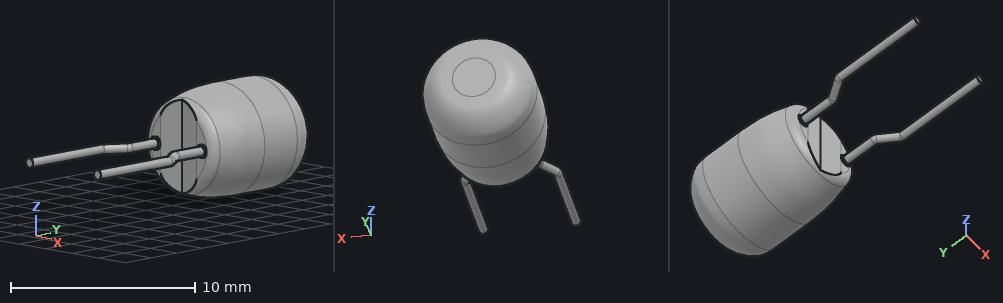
import cadquery as cq
import math

body_radius = 3.146
body_top = 7.95
band_bottom = 3.48
band_top = 6.02
base_edge_radius = 2.68
base_edge_height = 0.45
base_flat_radius = 2.09
shoulder_upper = (2.35, 7.63)
shoulder_lower = (2.92, 7.0)
crown_radius = 1.19

groove_half_width = 1.35
groove_depth = 0.27

lead_radius = 0.28
lead_end = -9.0
lead_embed = 0.85
lead_inner_x = 1.75
lead_outer_x = 2.56
first_bend_y = -2.04
second_bend_y = -3.43
bend_radius = 0.3
collar_radius = 0.37
collar_height = 0.07


def make_body():
    """Barrel with a domed top, a tapering lower side and a rounded base rim."""
    taper_inset = body_radius - base_edge_radius
    taper_length = band_bottom - base_edge_height
    taper_radius = (taper_inset**2 + taper_length**2) / (2 * taper_inset)
    taper_angle = math.asin(taper_length / taper_radius) / 2
    taper_mid = (
        body_radius - taper_radius * (1 - math.cos(taper_angle)),
        band_bottom - taper_radius * math.sin(taper_angle),
    )
    profile = (
        cq.Workplane("XY")
        .lineTo(0, body_top)
        .lineTo(crown_radius, body_top)
        .spline(
            [shoulder_upper, shoulder_lower, (body_radius, band_top)],
            tangents=[(1, 0), (0, -1)],
            includeCurrent=True,
        )
        .lineTo(body_radius, band_bottom)
        .threePointArc(taper_mid, (base_edge_radius, base_edge_height))
        .tangentArcPoint((base_flat_radius, 0), relative=False)
        .close()
    )
    return profile.revolve(360, (0, 0, 0), (0, 1, 0))


def make_groove():
    """V-shaped wedge running along Z through the whole base."""
    return (
        cq.Workplane("XY")
        .polyline([(-groove_half_width, 0), (0, groove_depth), (groove_half_width, 0)])
        .close()
        .extrude(body_radius, both=True)
    )


def make_lead():
    """Right-hand lead: straight, kicked outward between two bends, then straight again."""
    center_dx = lead_outer_x - lead_inner_x - 2 * bend_radius
    center_dy = first_bend_y - second_bend_y
    center_distance = math.hypot(center_dx, center_dy)
    angle = math.atan2(center_dx, center_dy) + math.asin(2 * bend_radius / center_distance)

    def bend_offset(turn):
        return bend_radius * (1 - math.cos(turn)), bend_radius * math.sin(turn)

    mid_dx, mid_dy = bend_offset(angle / 2)
    end_dx, end_dy = bend_offset(angle)
    path = (
        cq.Workplane("XY")
        .moveTo(lead_inner_x, lead_embed)
        .lineTo(lead_inner_x, first_bend_y)
        .threePointArc(
            (lead_inner_x + mid_dx, first_bend_y - mid_dy),
            (lead_inner_x + end_dx, first_bend_y - end_dy),
        )
        .lineTo(lead_outer_x - end_dx, second_bend_y + end_dy)
        .threePointArc(
            (lead_outer_x - mid_dx, second_bend_y + mid_dy),
            (lead_outer_x, second_bend_y),
        )
        .lineTo(lead_outer_x, lead_end)
    )
    section = cq.Workplane("XZ", origin=(lead_inner_x, lead_embed, 0)).circle(lead_radius)
    return section.sweep(path)


def make_collar():
    """Small cone where the lead leaves the base, sunk into the body above it."""
    profile = (
        cq.Workplane("XY")
        .moveTo(lead_inner_x, lead_embed)
        .lineTo(lead_inner_x + collar_radius, lead_embed)
        .lineTo(lead_inner_x + collar_radius, 0)
        .lineTo(lead_inner_x + lead_radius, -collar_height)
        .lineTo(lead_inner_x, -collar_height)
        .close()
    )
    return profile.revolve(360, (lead_inner_x, 0, 0), (lead_inner_x, 1, 0))


lead = make_lead().union(make_collar())
result = make_body().cut(make_groove()).union(lead).union(lead.mirror("YZ"))